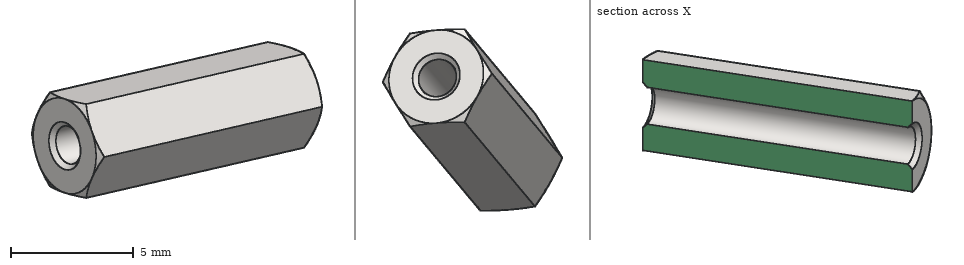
import cadquery as cq
import math

length = 12.0
across_flats = 4.0
bore_diameter = 1.6
countersink_diameter = 2.0
corner_chamfer_angle = 30.0

across_corners = across_flats / math.cos(math.radians(30))
flat_radius = across_flats / 2
corner_radius = across_corners / 2
half_length = length / 2
chamfer_depth = (corner_radius - flat_radius) * math.tan(math.radians(corner_chamfer_angle))
countersink_depth = (countersink_diameter - bore_diameter) / 2


def hexagonal_bar():
    return (
        cq.Workplane("XZ")
        .polygon(6, across_corners)
        .extrude(half_length, both=True)
    )


def chamfer_envelope():
    """Round bar with conical ends that trims the corners of the hexagon."""
    shoulder = half_length - chamfer_depth
    return (
        cq.Workplane("XY")
        .moveTo(0, -half_length)
        .lineTo(flat_radius, -half_length)
        .lineTo(corner_radius, -shoulder)
        .lineTo(corner_radius, shoulder)
        .lineTo(flat_radius, half_length)
        .lineTo(0, half_length)
        .close()
        .revolve(360, (0, 0, 0), (0, 1, 0))
    )


def countersunk_bore():
    """Through bore, flared at both ends."""
    bore_radius = bore_diameter / 2
    mouth_radius = countersink_diameter / 2
    flare_start = half_length - countersink_depth
    return (
        cq.Workplane("XY")
        .moveTo(0, -half_length)
        .lineTo(mouth_radius, -half_length)
        .lineTo(bore_radius, -flare_start)
        .lineTo(bore_radius, flare_start)
        .lineTo(mouth_radius, half_length)
        .lineTo(0, half_length)
        .close()
        .revolve(360, (0, 0, 0), (0, 1, 0))
    )


result = hexagonal_bar().intersect(chamfer_envelope()).cut(countersunk_bore())